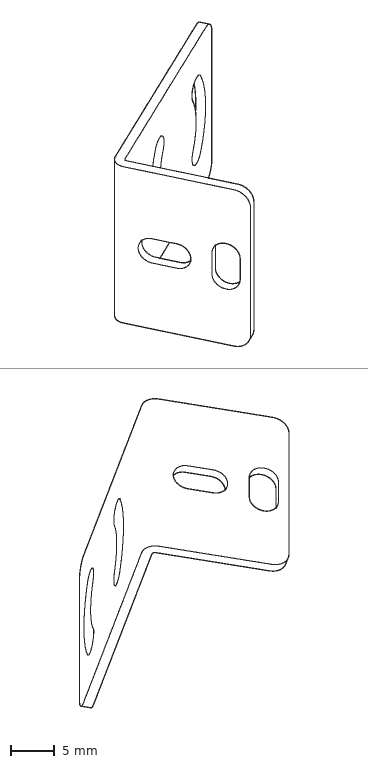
import cadquery as cq
import math

flange_length = 17.0
plate_length = 31.0
height = 22.0
thickness = 1.2
inside_bend_radius = 0.37
outside_bend_radius = inside_bend_radius + thickness
corner_radius = 2.0
mid_height = height / 2

slot_length = 6.4
slot_width = 3.4
level_slot_x = 6.55
upright_slot_x = 14.0

arc_center_y = 19.5
arc_radius = 7.75
arc_slot_width = 3.2
arc_half_angle = 35.0


def bent_sheet():
    """L-shaped sheet with a rounded bend and rounded free corners."""
    sheet = (
        cq.Workplane("XY")
        .polyline([
            (0, 0),
            (flange_length, 0),
            (flange_length, thickness),
            (thickness, thickness),
            (thickness, plate_length),
            (0, plate_length),
        ])
        .close()
        .extrude(height)
    )
    sheet = sheet.edges(cq.NearestToPointSelector((0, 0, mid_height))).fillet(outside_bend_radius)
    inner_corner = (thickness, thickness, mid_height)
    sheet = sheet.edges(cq.NearestToPointSelector(inner_corner)).fillet(inside_bend_radius)
    sheet = sheet.faces(">X").edges("|Y").fillet(corner_radius)
    return sheet.faces(">Y").edges("|X").fillet(corner_radius)


def straight_slot(center_x, angle):
    """Cutter through the short flange; angle 0 lies along X, 90 along Z."""
    return (
        cq.Workplane("XZ")
        .center(center_x, mid_height)
        .slot2D(slot_length, slot_width, angle)
        .extrude(-thickness)
    )


def curved_slot(direction):
    """Cutter through the long plate, centred on a direction in degrees from +Y."""
    def polar(radius, offset):
        angle = math.radians(direction + offset)
        return (arc_center_y + radius * math.cos(angle), mid_height + radius * math.sin(angle))

    end_radius = arc_slot_width / 2
    outer = arc_radius + end_radius
    inner = arc_radius - end_radius

    def end_tip(side):
        """Outermost point of a round end; side is +1 or -1."""
        center_y, center_z = polar(arc_radius, side * arc_half_angle)
        tangent = math.radians(direction + side * (arc_half_angle + 90))
        return (center_y + end_radius * math.cos(tangent), center_z + end_radius * math.sin(tangent))

    return (
        cq.Workplane("YZ")
        .moveTo(*polar(outer, -arc_half_angle))
        .threePointArc(polar(outer, 0), polar(outer, arc_half_angle))
        .threePointArc(end_tip(1), polar(inner, arc_half_angle))
        .threePointArc(polar(inner, 0), polar(inner, -arc_half_angle))
        .threePointArc(end_tip(-1), polar(outer, -arc_half_angle))
        .close()
        .extrude(thickness)
    )


result = bent_sheet()
result = result.cut(straight_slot(level_slot_x, 0))
result = result.cut(straight_slot(upright_slot_x, 90))
for slot_direction in (0, 180):
    result = result.cut(curved_slot(slot_direction))